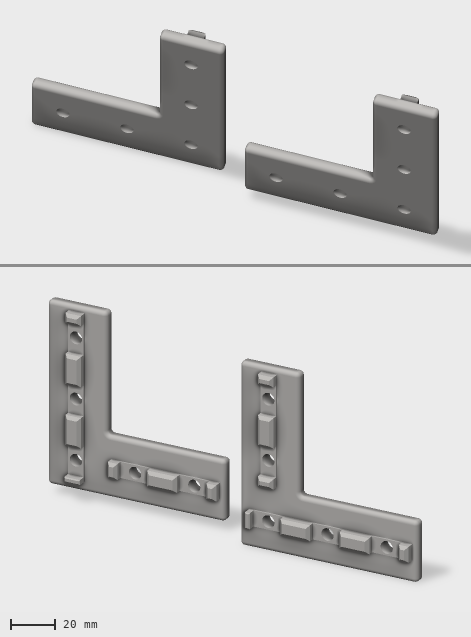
import cadquery as cq


total_length = 192.9
total_height = 94.7
total_depth = 20.6

plate_length = 90.0
plate_thickness = 6.0
edge_radius = 2.0
hole_diameter = 6.2
holes_per_leg = 3
hole_pitch = plate_length / holes_per_leg
leg_width = hole_pitch
half_leg = leg_width / 2
leg_tip = plate_length - half_leg

bracket_depth = 11.0
tongue_width = 8.0
rail_height = 1.0
key_height = bracket_depth - plate_thickness
tip_inset = 2.5
tongue_end = leg_tip - tip_inset
corner_inset = 5.0
long_tongue_start = corner_inset - half_leg
short_tongue_start = half_leg + tip_inset
key_gap = hole_pitch / 2
key_chamfer = 1.5
narrow_key_chamfer = 0.5

shift_x = total_length - plate_length
shift_y = bracket_depth - total_depth
shift_z = total_height - plate_length


def hole_distances():
    """Distances of one leg's screw holes from the elbow hole, which is the first."""
    return [i * hole_pitch for i in range(holes_per_leg)]


def plate():
    """L plate with its elbow hole at X = Z = 0, its back face at Y = 0 and all edges rounded."""
    outline = [
        (-leg_tip, -half_leg),
        (half_leg, -half_leg),
        (half_leg, leg_tip),
        (-half_leg, leg_tip),
        (-half_leg, half_leg),
        (-leg_tip, half_leg),
    ]
    blank = cq.Workplane("XZ").polyline(outline).close().extrude(plate_thickness)
    return blank.edges("|Y").fillet(edge_radius).faces("<Y or >Y").edges().fillet(edge_radius)


def tongue_block(start, end, height):
    """Block on the back face along the -X leg, between two distances from the elbow hole."""
    return (
        cq.Workplane("XY")
        .box(end - start, height, tongue_width, centered=(False, False, True))
        .translate((-end, 0, 0))
    )


def key(start, end):
    """Key with chamfered top edges; one too narrow for the usual chamfer gets a finer one."""
    too_narrow = end - start <= 2 * key_chamfer
    chamfer = narrow_key_chamfer if too_narrow else key_chamfer
    return tongue_block(start, end, key_height).faces(">Y").chamfer(chamfer)


def tongue(start):
    """Tongue along the -X leg: a rail from start to the tip, and a key on either side of each gap."""
    body = tongue_block(start, tongue_end, rail_height)
    key_start = start
    for hole in hole_distances():
        key_end = hole - key_gap / 2
        if key_end > key_start:
            body = body.union(key(key_start, key_end))
        key_start = max(start, hole + key_gap / 2)
    return body.union(key(key_start, tongue_end))


def bracket(level_tongue_start, upright_tongue_start):
    """Plate with a tongue on each leg, drilled, with its outer lower left corner at the origin."""
    level_tongue = tongue(level_tongue_start)
    upright_tongue = tongue(upright_tongue_start).rotate((0, 0, 0), (0, 1, 0), 90)
    body = plate().union(level_tongue).union(upright_tongue)

    level_holes = [(-distance, 0) for distance in hole_distances()]
    upright_holes = [(0, distance) for distance in hole_distances()[1:]]
    drills = (
        cq.Workplane("XZ", origin=(0, rail_height, 0))
        .pushPoints(level_holes + upright_holes)
        .circle(hole_diameter / 2)
        .extrude(plate_thickness + rail_height)
    )
    return body.cut(drills).translate((leg_tip, plate_thickness, half_leg))


def level_keyed_bracket():
    """Bracket whose long tongue is on the level leg."""
    return bracket(long_tongue_start, short_tongue_start)


def upright_keyed_bracket():
    """Bracket whose long tongue is on the upright leg, in front of and right of the other one."""
    return bracket(short_tongue_start, long_tongue_start).translate((shift_x, shift_y, shift_z))


left_bracket = level_keyed_bracket()
right_bracket = upright_keyed_bracket()

result = cq.Compound.makeCompound([left_bracket.solids().val(), right_bracket.solids().val()])